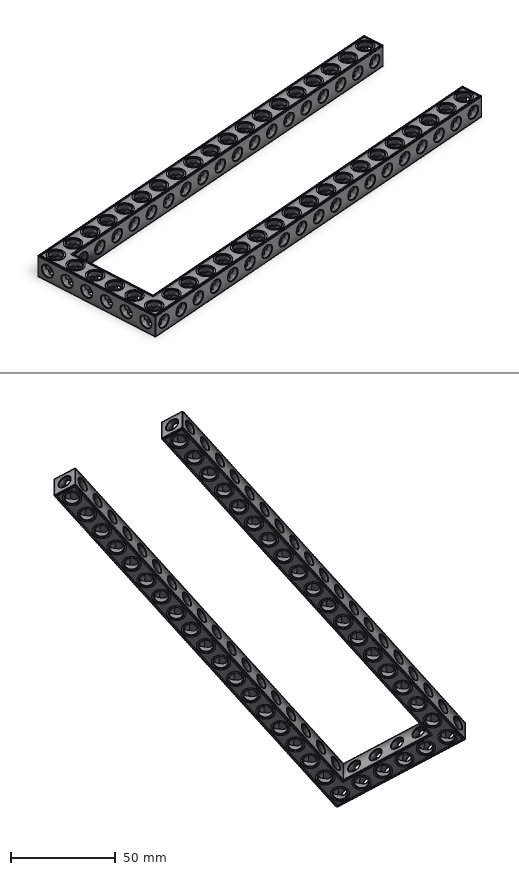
import cadquery as cq

length = 237.5
leg_holes = 19
base_holes = 6

pitch = length / leg_holes
width = base_holes * pitch

bore = 7.0
bevel = 0.3
rim = 1.1
recess_depth = 0.12
collar = 9.3

columns = [(i - (base_holes - 1) / 2) * pitch for i in range(base_holes)]
rows = [(i - (leg_holes - 1) / 2) * pitch for i in range(leg_holes)]
leg_columns = (columns[0], columns[-1])
base_row = rows[0]

vertical_holes = [(x, y) for x in leg_columns for y in rows]
vertical_holes += [(x, base_row) for x in columns[1:-1]]


def u_plate(height, inset=0.0):
    """Plate with the outline of the frame, drawn in by inset, standing on Z = 0."""
    half_width = width / 2 - inset
    half_opening = width / 2 - pitch + inset
    tip = length / 2 - inset
    back = -length / 2 + inset
    inner_back = -length / 2 + pitch - inset
    outline = [
        (-half_width, back),
        (half_width, back),
        (half_width, tip),
        (half_opening, tip),
        (half_opening, inner_back),
        (-half_opening, inner_back),
        (-half_opening, tip),
        (-half_width, tip),
    ]
    return cq.Workplane("XY").polyline(outline).close().extrude(height)


def bevelled_hole(center, direction, depth):
    """Cutter for a through hole with both mouths bevelled."""
    middle = cq.Vector(*center)
    axis = cq.Vector(*direction)
    cutters = [cq.Solid.makeCylinder(bore / 2, depth, middle - axis * (depth / 2), axis)]
    for side in (axis, -axis):
        mouth = middle + side * (depth / 2)
        cutters.append(cq.Solid.makeCone(bore / 2 + bevel, bore / 2, bevel, mouth, -side))
    return cutters


def hole_cutters():
    """Cutters for the holes along all three axes."""
    along_x, along_y, along_z = (1, 0, 0), (0, 1, 0), (0, 0, 1)
    cutters = []
    for x, y in vertical_holes:
        cutters += bevelled_hole((x, y, 0), along_z, pitch)
    for x in leg_columns:
        for y in rows[1:]:
            cutters += bevelled_hole((x, y, 0), along_x, pitch)
    for x in columns[1:-1]:
        cutters += bevelled_hole((x, base_row, 0), along_y, pitch)
    for x in leg_columns:
        cutters += bevelled_hole((x, 0, 0), along_y, length)
    cutters += bevelled_hole((0, base_row, 0), along_x, width)
    return cutters


def recess(floor):
    """Shallow recess that leaves a rim along the outline and a collar around each hole."""
    collars = cq.Workplane("XY").pushPoints(vertical_holes).circle(collar / 2).extrude(recess_depth)
    return u_plate(recess_depth, rim).cut(collars).translate((0, 0, floor))


def bevelled_frame():
    """Solid beams with all edges bevelled except the two inside corners of the U."""
    inside_corners = cq.selectors.BoxSelector(
        (leg_columns[0], base_row, -pitch),
        (leg_columns[1], 0, pitch),
    )
    upright_edges = cq.StringSyntaxSelector("|Z") - inside_corners
    flat_edges = cq.StringSyntaxSelector("#Z")
    beams = u_plate(pitch).translate((0, 0, -pitch / 2))
    return beams.edges(upright_edges + flat_edges).chamfer(bevel)


frame = cq.Workplane(bevelled_frame().val().cut(*hole_cutters()))
for floor in (pitch / 2 - recess_depth, -pitch / 2):
    frame = frame.cut(recess(floor))

result = frame.solids()